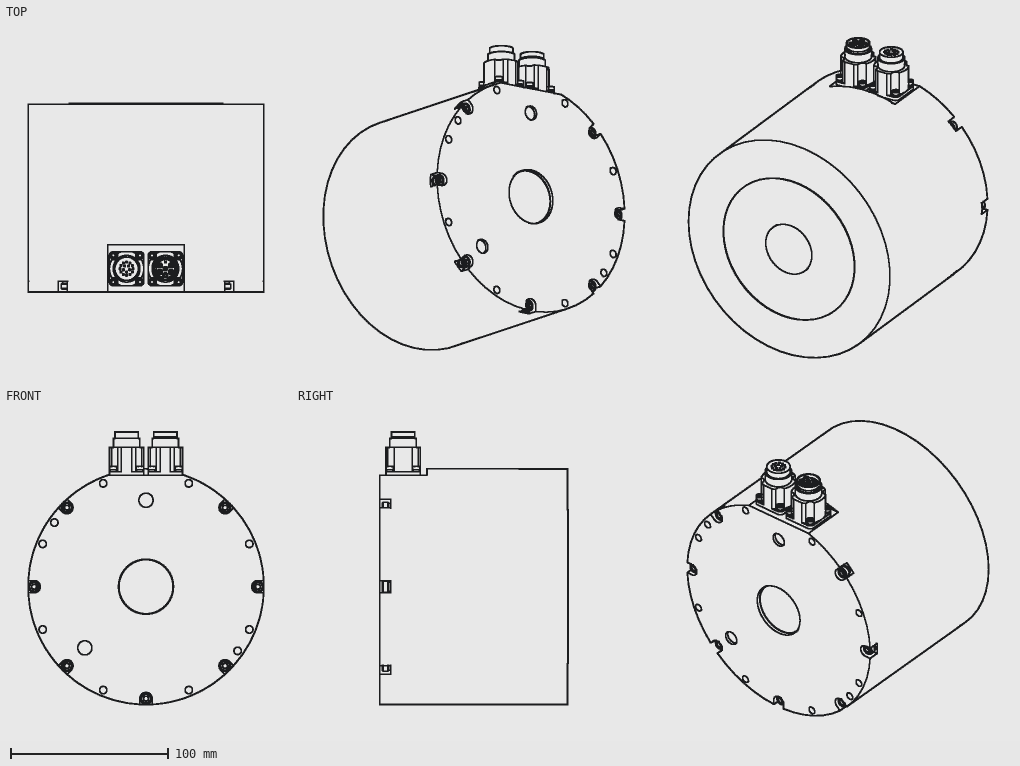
import cadquery as cq
import math

overall_height = 173.5
overall_length = 120.0
body_dia = 150.0
back_pad_dia = 97.7
back_pad_height = 0.5
bore_mouth_dia = 35.0
bore_mouth_depth = 2.5
bore_dia = 34.4

body_radius = body_dia / 2
body_length = overall_length - back_pad_height

seat_height = 71.0
seat_length = 30.0

bolt_circle_radius = 71.1
tapped_hole_dia = 4.7
tapped_hole_depth = 10.0
drill_point_angle = 118
tapped_hole_angles = [22.5 + 45 * i for i in range(8)] + [145, -35]
recess_dia = 9.0
recess_depth = 2.0
recess_circle_radius = 55.0
recess_angles = [90, 225]

notch_width = 7.8
notch_depth = 7.0
notch_angles = [0, 45, 135, 180, 225, 270, 315]
cap_dia = 7.0
cap_height = 4.0
cap_chamfer = 0.7
cap_neck_height = 1.2
cap_neck_dia = cap_dia - 2 * cap_chamfer
cap_socket_dia = 3.1
cap_socket_depth = 2.0

connector_spacing = 24.6
connector_y = 15.0
flange_size = 21.9
flange_height = 2.3
flange_corner_radius = 2.8
shell_height = 17.7
shell_half_depth = 11.5
shell_side_flat = 1.0
pocket_wall = 5.7
pocket_radius = 2.8
collar_dia = 17.0
collar_height = 5.7
plug_dia = 15.0
connector_height = overall_height - body_radius - seat_height
plug_height = connector_height - shell_height - collar_height

flange_screw_offset = 8.5
flange_screw_dia = 4.5
flange_screw_height = 2.3
flange_screw_neck_dia = 3.8
flange_screw_neck_height = 1.0
flange_screw_socket_dia = 2.5
flange_screw_socket_depth = 1.0

signal_hole_dia = 1.0
signal_hole_depth = 2.0
signal_outer_radius = 4.2
signal_outer_count = 12
signal_inner_radius = 2.0
signal_inner_count = 5

cup_dia = 13.9
cup_depth = 3.0
insert_dia = 11.8
insert_height = 1.2
sleeve_dia = 3.1
sleeve_bore_dia = 1.5
sleeve_height = 1.4
sleeve_ring_radius = 4.2
center_sleeve_dia = 2.8
center_sleeve_bore_dia = 1.0
pilot_hole_dia = 1.0
pilot_hole_depth = 2.0


def polar(radius, angle):
    """Point on a circle around the origin, angle in degrees."""
    return (radius * math.cos(math.radians(angle)), radius * math.sin(math.radians(angle)))


def face_plane(depth=0.0):
    """Plane parallel to the front face, local x, y = X, Z, normal out of the part (-Y)."""
    return cq.Workplane("XZ", origin=(0, depth, 0))


def rod(dia, height, bottom=0.0):
    """Upright cylinder on the Z axis."""
    return cq.Workplane("XY").workplane(offset=bottom).circle(dia / 2).extrude(height)


def make_housing():
    housing = face_plane().circle(body_radius).extrude(-body_length)
    housing = housing.union(face_plane(body_length).circle(back_pad_dia / 2).extrude(-back_pad_height))
    housing = housing.cut(face_plane().circle(bore_dia / 2).extrude(-overall_length))
    housing = housing.cut(face_plane().circle(bore_mouth_dia / 2).extrude(-bore_mouth_depth))
    seat_cut = cq.Workplane("XY").box(
        body_dia, seat_length, body_radius, centered=(True, False, False)
    )
    return housing.cut(seat_cut.translate((0, 0, seat_height)))


def make_tapped_holes():
    """Blind holes with a drill point, as a list of solids to cut."""
    radius = tapped_hole_dia / 2
    tip_depth = tapped_hole_depth + radius / math.tan(math.radians(drill_point_angle / 2))
    drill = (
        cq.Workplane("XY")
        .polyline([(0, 0), (radius, 0), (radius, tapped_hole_depth), (0, tip_depth)])
        .close()
        .revolve(360, (0, 0, 0), (0, 1, 0))
    )
    centers = [polar(bolt_circle_radius, angle) for angle in tapped_hole_angles]
    return [drill.translate((x, 0, z)) for x, z in centers]


def make_recesses():
    centers = [polar(recess_circle_radius, angle) for angle in recess_angles]
    return face_plane().pushPoints(centers).circle(recess_dia / 2).extrude(-recess_depth)


def make_notch():
    """U-shaped notch at angle zero, open towards +X."""
    round_end = face_plane().center(bolt_circle_radius, 0).circle(notch_width / 2).extrude(-notch_depth)
    mouth = cq.Workplane("XY").box(
        notch_width, notch_depth, notch_width, centered=(False, False, True)
    )
    mouth = mouth.translate((bolt_circle_radius, 0, 0))
    return round_end.union(mouth)


def make_cap_screw():
    """Socket-head screw standing on the notch floor at angle zero."""
    neck = face_plane(notch_depth).circle(cap_neck_dia / 2).extrude(cap_neck_height)
    cap = (
        face_plane(notch_depth - cap_neck_height)
        .circle(cap_dia / 2)
        .extrude(cap_height)
        .faces("<Y or >Y")
        .chamfer(cap_chamfer)
    )
    cap_top = notch_depth - cap_neck_height - cap_height
    socket = face_plane(cap_top).circle(cap_socket_dia / 2).extrude(-cap_socket_depth)
    return neck.union(cap).cut(socket).translate((bolt_circle_radius, 0, 0))


def make_connector_base():
    """Flange, shell with four corner pockets, collar and plug; bottom centre at the origin."""
    half = flange_size / 2
    flange = (
        cq.Workplane("XY")
        .rect(flange_size, flange_size)
        .extrude(flange_height)
        .edges("|Z")
        .fillet(flange_corner_radius)
    )
    shell_half_width = half / math.sqrt(1 - (shell_side_flat / 2 / shell_half_depth) ** 2)
    shell = cq.Workplane("XY").ellipse(shell_half_width, shell_half_depth).extrude(shell_height)
    shell = shell.intersect(cq.Workplane("XY").rect(flange_size, flange_size).extrude(shell_height))
    pocket = (
        cq.Workplane("XY")
        .box(half, half, shell_height, centered=False)
        .edges("|Z and <X and <Y")
        .fillet(pocket_radius)
        .translate((pocket_wall, pocket_wall, 0))
    )
    for i in range(4):
        shell = shell.cut(pocket.rotate((0, 0, 0), (0, 0, 1), 90 * i))
    base = flange.union(shell)
    base = base.union(rod(collar_dia, collar_height, shell_height))
    base = base.union(rod(plug_dia, plug_height, shell_height + collar_height))

    head_bottom = flange_height + flange_screw_neck_height
    screw = rod(flange_screw_neck_dia, flange_screw_neck_height, flange_height)
    screw = screw.union(rod(flange_screw_dia, flange_screw_height, head_bottom))
    head_top = head_bottom + flange_screw_height
    screw = screw.cut(rod(flange_screw_socket_dia, -flange_screw_socket_depth, head_top))
    for x in (-flange_screw_offset, flange_screw_offset):
        for y in (-flange_screw_offset, flange_screw_offset):
            base = base.union(screw.translate((x, y, 0)))
    return base


def make_signal_holes(ring_radius, count):
    """Ring of contact holes in the plug's top face, one of them towards -Y."""
    return (
        cq.Workplane("XY", origin=(0, 0, connector_height))
        .polarArray(ring_radius, -90, 360, count)
        .circle(signal_hole_dia / 2)
        .extrude(-signal_hole_depth)
    )


def make_signal_connector():
    connector = make_connector_base()
    connector = connector.cut(make_signal_holes(signal_outer_radius, signal_outer_count))
    return connector.cut(make_signal_holes(signal_inner_radius, signal_inner_count))


def make_sleeve(outer_dia, hole_dia, bottom):
    return rod(outer_dia, sleeve_height, bottom).cut(rod(hole_dia, sleeve_height, bottom))


def make_power_connector():
    cup_floor = connector_height - cup_depth
    insert_top = cup_floor + insert_height
    connector = make_connector_base().cut(rod(cup_dia, cup_depth, cup_floor))
    connector = connector.union(rod(insert_dia, insert_height, cup_floor))
    for i in range(1, 6):
        x, y = polar(sleeve_ring_radius, 90 + 60 * i)
        sleeve = make_sleeve(sleeve_dia, sleeve_bore_dia, insert_top)
        connector = connector.union(sleeve.translate((x, y, 0)))
    connector = connector.union(make_sleeve(center_sleeve_dia, center_sleeve_bore_dia, insert_top))
    pilot_hole = rod(pilot_hole_dia, -pilot_hole_depth, insert_top)
    return connector.cut(pilot_hole.translate((0, sleeve_ring_radius, 0)))


result = make_housing().cut(make_recesses())
for hole in make_tapped_holes():
    result = result.cut(hole)

notch = make_notch()
cap_screw = make_cap_screw()
for angle in notch_angles:
    result = result.cut(notch.rotate((0, 0, 0), (0, -1, 0), angle))
    result = result.union(cap_screw.rotate((0, 0, 0), (0, -1, 0), angle))

signal_x = -connector_spacing / 2
power_x = connector_spacing / 2
result = result.union(make_signal_connector().translate((signal_x, connector_y, seat_height)))
result = result.union(make_power_connector().translate((power_x, connector_y, seat_height)))